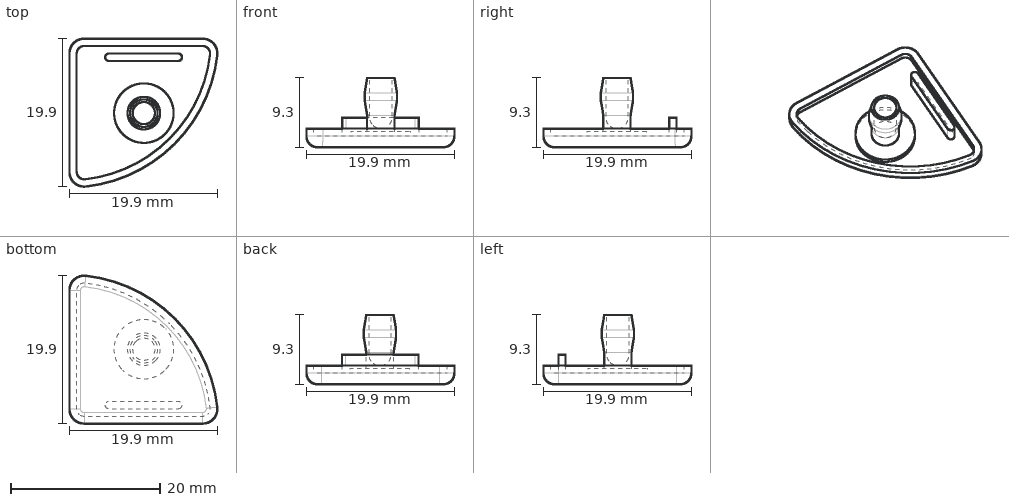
import cadquery as cq
import math

side = 19.89
corner_radius = 2.0
tray_height = 2.5
bottom_rounding = 1.5
wall = 1.0
floor_thickness = 1.5

post_center = 10.0
pad_radius = 4.0
pad_height = 0.65
neck_radius = 1.85
bulge_radius = 2.19
neck_top = 4.3
bulge_bottom = 6.3
bulge_top = 7.3
post_top = 9.3
bore_radius = 1.5
bore_bottom = 2.5

rib_center = 9.96
rib_length = 10.3
rib_width = 1.0
rib_top = 4.0
rib_offset = 2.5


def rounded_sector(inset, bottom, height):
    """Quarter disc, square corner at (0, 0), inset evenly from the tray outline."""
    radius = corner_radius - inset
    near = corner_radius
    far = side - corner_radius
    arc_radius = math.hypot(far, near) + radius
    tip_angle = math.atan2(near, far)

    def on_circle(x, y, r, angle):
        return (x + r * math.cos(angle), y + r * math.sin(angle))

    right_end = on_circle(0, 0, arc_radius, -tip_angle)
    front_end = on_circle(0, 0, arc_radius, tip_angle - math.pi / 2)
    arc_middle = on_circle(0, 0, arc_radius, -math.pi / 4)
    right_middle = on_circle(far, -near, radius, (math.pi / 2 - tip_angle) / 2)
    front_middle = on_circle(near, -far, radius, (tip_angle - math.pi / 2 - math.pi) / 2)
    back_middle = on_circle(near, -near, radius, 3 * math.pi / 4)
    return (
        cq.Workplane("XY", origin=(0, 0, bottom))
        .moveTo(near, -inset)
        .lineTo(far, -inset)
        .threePointArc(right_middle, right_end)
        .threePointArc(arc_middle, front_end)
        .threePointArc(front_middle, (inset, -far))
        .lineTo(inset, -near)
        .threePointArc(back_middle, (near, -inset))
        .close()
        .extrude(height)
    )


def make_tray():
    body = rounded_sector(0, 0, tray_height).faces("<Z").edges().fillet(bottom_rounding)
    return body.cut(rounded_sector(wall, floor_thickness, tray_height))


def make_post():
    profile = (
        cq.Workplane("XZ")
        .moveTo(0, floor_thickness)
        .lineTo(pad_radius, floor_thickness)
        .lineTo(pad_radius, floor_thickness + pad_height)
        .lineTo(neck_radius, floor_thickness + pad_height)
        .lineTo(neck_radius, neck_top)
        .lineTo(bulge_radius, bulge_bottom)
        .lineTo(bulge_radius, bulge_top)
        .lineTo(neck_radius, post_top)
        .lineTo(bore_radius, post_top)
        .lineTo(bore_radius, bore_bottom + bore_radius)
        .radiusArc((0, bore_bottom), bore_radius)
        .close()
    )
    return profile.revolve(360, (0, 0), (0, 1)).translate((post_center, -post_center, 0))


def make_rib():
    return (
        cq.Workplane("XY", origin=(rib_center, -rib_offset, floor_thickness))
        .slot2D(rib_length, rib_width)
        .extrude(rib_top - floor_thickness)
    )


result = make_tray().union(make_post()).union(make_rib())